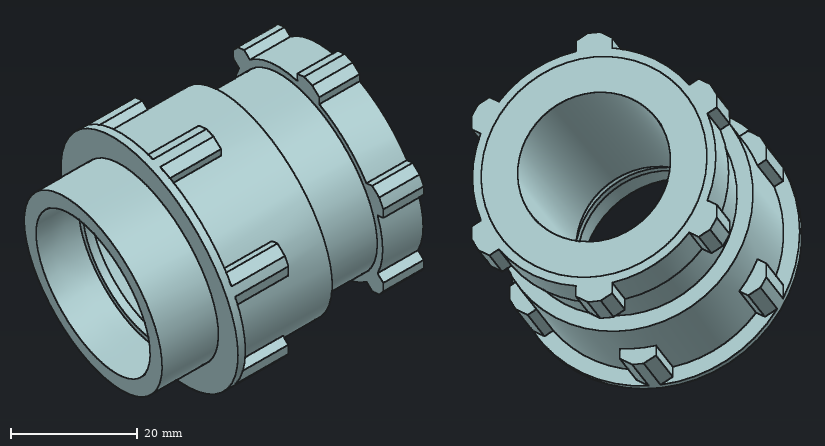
import cadquery as cq
import math

overall_length = 50.25
socket_depth = 8.2
lip_end = 9.75
nut_front = 11.05
flange_back = 12.5
joint = 14.0
nut_lug_back = 22.95
nut_back = 31.5
collar_front = 42.25

pipe_radius = 18.5
bore_radius = 12.5
socket_mouth_radius = 15.25
socket_bottom_radius = 14.95
lip_radius = 13.8
flare_radius = 17.1
nut_radius = 21.1
flange_radius = 23.74
collar_radius = 19.95

lug_count = 6
lug_width = 5.95
lug_slope = 30.0
nut_lug_shoulder = 22.55
collar_lug_radius = 22.6
collar_lug_shoulder = 21.5

trim_allowance = 1.0


def revolve_profile(points):
    """Revolve (radius, y) points a full turn about the Y axis."""
    outline = [(y, radius) for radius, y in points]
    return cq.Workplane("YZ").polyline(outline).close().revolve(360, (0, 0, 0), (1, 0, 0))


def ring(outer_radius, inner_radius, start, end):
    """Plain tube about the Y axis from start to end."""
    return revolve_profile(
        [(inner_radius, start), (outer_radius, start), (outer_radius, end), (inner_radius, end)]
    )


def add_lugs(sleeve, root_radius, shoulder, crest_radius, start, end):
    """Fuse evenly spaced lugs with sloped shoulders onto a sleeve, then round their crests."""
    half_width = lug_width / 2
    peak = shoulder + half_width * math.tan(math.radians(lug_slope))
    lug = (
        cq.Workplane("XZ", origin=(0, start, 0))
        .polyline(
            [
                (-half_width, root_radius),
                (-half_width, shoulder),
                (0, peak),
                (half_width, shoulder),
                (half_width, root_radius),
            ]
        )
        .close()
        .extrude(start - end)
    )
    for index in range(lug_count):
        sleeve = sleeve.union(lug.rotate((0, 0, 0), (0, 1, 0), index * 360 / lug_count))
    crest_envelope = cq.Workplane("XZ").circle(crest_radius).extrude(-overall_length)
    return sleeve.intersect(crest_envelope)


def make_tail():
    """Front pipe end: tapered socket, inner lip and a bore that flares towards the joint."""
    return revolve_profile(
        [
            (socket_mouth_radius, 0),
            (pipe_radius, 0),
            (pipe_radius, joint),
            (flare_radius, joint),
            (lip_radius, lip_end),
            (lip_radius, socket_depth),
            (socket_bottom_radius, socket_depth),
        ]
    )


def make_nut():
    """Flanged union nut around the joint, with grip lugs behind its flange."""
    flange_blank_radius = flange_radius + trim_allowance
    sleeve = revolve_profile(
        [
            (pipe_radius, nut_front),
            (flange_blank_radius, nut_front),
            (flange_blank_radius, flange_back),
            (nut_radius, flange_back),
            (nut_radius, nut_back),
            (pipe_radius, nut_back),
        ]
    )
    root = (pipe_radius + nut_radius) / 2
    return add_lugs(sleeve, root, nut_lug_shoulder, flange_radius, nut_front, nut_lug_back)


def make_body():
    """Rear pipe with a plain bore, meeting the tail at the joint."""
    return ring(pipe_radius, bore_radius, joint, overall_length)


def make_collar():
    """Lugged collar around the rear end of the body."""
    sleeve = ring(collar_radius, pipe_radius, collar_front, overall_length)
    root = (pipe_radius + collar_radius) / 2
    return add_lugs(
        sleeve, root, collar_lug_shoulder, collar_lug_radius, collar_front, overall_length
    )


tail = make_tail()
nut = make_nut()
body = make_body()
collar = make_collar()

result = cq.Compound.makeCompound([tail.val(), nut.val(), body.val(), collar.val()])